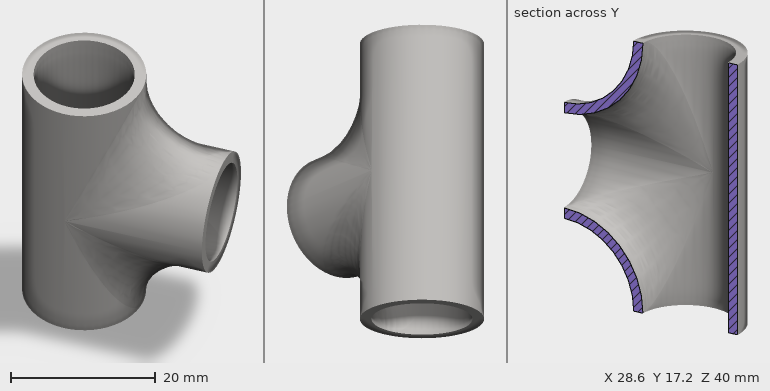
import cadquery as cq
import math

run_length = 40.0
branch_reach = run_length / 2
outer_radius = 8.6
wall = 1.6
bore_radius = outer_radius - wall
blend_sections = 9
axis_gap = 0.1


def blend_section(radius, angle):
    """Half-ellipse in the plane through the Y axis tilted by angle from +X towards +Z.

    Its apex lies on the quarter arc tangent to both pipes at their open ends.
    """
    arc_radius = branch_reach - radius
    to_arc_centre = branch_reach * (math.cos(angle) + math.sin(angle))
    reach = to_arc_centre - math.sqrt(to_arc_centre**2 - 2 * branch_reach**2 + arc_radius**2)
    half_width = radius * math.sqrt(1 - (axis_gap / reach) ** 2)
    direction = cq.Vector(math.cos(angle), 0, math.sin(angle))
    plane = cq.Plane(origin=(0, 0, 0), xDir=direction, normal=direction.cross(cq.Vector(0, 1, 0)))
    trim_angle = math.degrees(math.acos(axis_gap / reach))
    return (
        cq.Workplane(plane)
        .moveTo(axis_gap, -half_width)
        .ellipseArc(reach, radius, -trim_angle, trim_angle, startAtCurrent=True)
        .close()
        .val()
    )


def blend(radius):
    """Wedge filling the upper corner between run and branch with a sweeping fillet."""
    start = math.atan2(radius, branch_reach)
    step = (math.pi / 2 - 2 * start) / (blend_sections - 1)
    sections = [blend_section(radius, start + i * step) for i in range(blend_sections)]
    return cq.Workplane(cq.Solid.makeLoft(sections))


def tee_body(radius):
    """Solid run and branch of one radius, with blends in both corners."""
    run = cq.Workplane("XY").circle(radius).extrude(run_length).translate((0, 0, -run_length / 2))
    branch = cq.Workplane("YZ").circle(radius).extrude(branch_reach)
    upper_blend = blend(radius)
    lower_blend = upper_blend.mirror("XY")
    return run.union(branch).union(upper_blend).union(lower_blend)


result = tee_body(outer_radius).cut(tee_body(bore_radius))